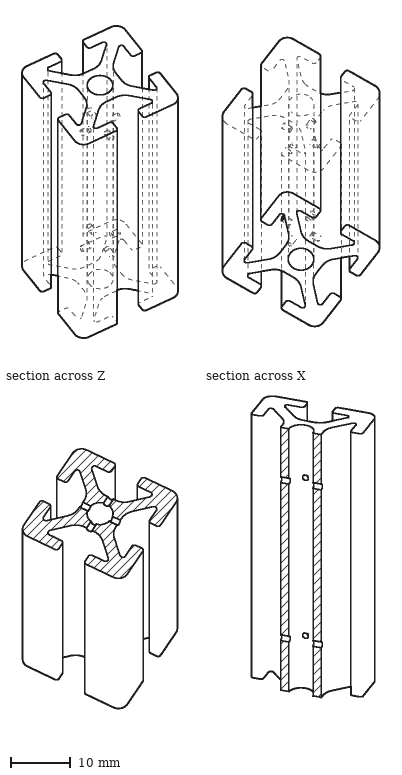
import cadquery as cq

width = 20.0
length = 50.0
corner_radius = 1.75

slot_opening = 5.0
lip_thickness = 2.15
lip_radius = 0.5
cavity_width = 11.4
cavity_radius = 0.4

core_width = 7.3
web_offset = 1.5
web_root_radius = 3.0

bore_diameter = 4.3
cross_hole_diameter = 1.0
cross_hole_end_distance = 10.0

search_margin = 0.05

half_width = width / 2
half_opening = slot_opening / 2
half_cavity = cavity_width / 2
half_core = core_width / 2
half_floor = half_core - web_offset
cavity_roof = half_width - lip_thickness
cavity_shoulder = half_cavity + web_offset


def make_slot():
    """Sharp-edged cutter for the T-slot on the +Y side."""
    right_side = [
        (half_opening, half_width),
        (half_opening, cavity_roof),
        (half_cavity, cavity_roof),
        (half_cavity, cavity_shoulder),
        (half_floor, half_core),
    ]
    left_side = [(-x, y) for x, y in reversed(right_side)]
    return cq.Workplane("XY").polyline(right_side + left_side).close().extrude(length)


def round_edges(body, points, radius):
    """Fillet the lengthwise edges at the given slot points, on all four sides."""
    for x, y in points:
        for side_x in (x, -x):
            for px, py in ((side_x, y), (-y, side_x), (-side_x, -y), (y, -side_x)):
                near_edge = cq.selectors.BoxSelector(
                    (px - search_margin, py - search_margin, 0),
                    (px + search_margin, py + search_margin, length),
                )
                body = body.edges("|Z").edges(near_edge).fillet(radius)
    return body


def make_profile():
    """Square bar with a T-slot along each side and rounded edges."""
    body = cq.Workplane("XY").rect(width, width).extrude(length)
    body = body.edges("|Z").fillet(corner_radius)
    slot = make_slot()
    for quarter_turn in range(4):
        body = body.cut(slot.rotate((0, 0, 0), (0, 0, 1), 90 * quarter_turn))

    lip_edges = [(half_opening, half_width), (half_opening, cavity_roof)]
    cavity_edges = [(half_cavity, cavity_roof), (half_cavity, cavity_shoulder)]
    body = round_edges(body, lip_edges, lip_radius)
    body = round_edges(body, cavity_edges, cavity_radius)
    return round_edges(body, [(half_floor, half_core)], web_root_radius)


def drill_holes(body):
    """Bore the core lengthwise and drill cross holes through it along X and Y."""
    bore = cq.Workplane("XY").circle(bore_diameter / 2).extrude(length)
    body = body.cut(bore)
    for height in (cross_hole_end_distance, length - cross_hole_end_distance):
        for plane in ("XZ", "YZ"):
            cross_hole = (
                cq.Workplane(plane)
                .center(0, height)
                .circle(cross_hole_diameter / 2)
                .extrude(half_width, both=True)
            )
            body = body.cut(cross_hole)
    return body


result = drill_holes(make_profile())